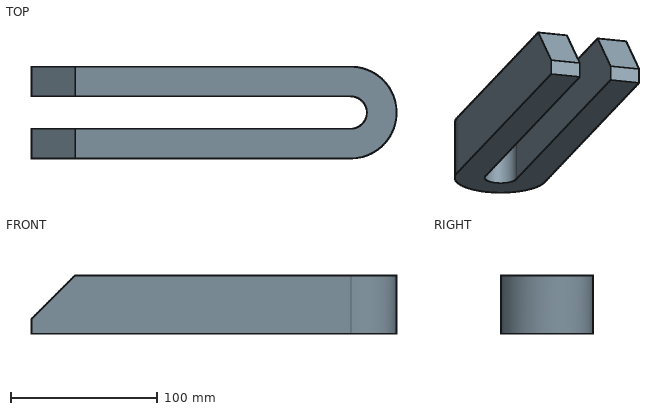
import cadquery as cq

length = 250.0
width = 63.0
height = 40.0

slot_width = 22.0

nose_height = 10.0
nose_run = height - nose_height

outer_radius = width / 2
slot_radius = slot_width / 2
bend_center_x = length - outer_radius


def round_ended_bar(radius):
    """Full-height bar from X = 0 to the bend centre, closed by a half round."""
    return (
        cq.Workplane("XY")
        .moveTo(0, -radius)
        .lineTo(bend_center_x, -radius)
        .threePointArc((bend_center_x + radius, 0), (bend_center_x, radius))
        .lineTo(0, radius)
        .close()
        .extrude(height)
    )


def nose_wedge():
    """Material removed above the sloped nose, across the full width."""
    return (
        cq.Workplane("XZ")
        .moveTo(0, nose_height)
        .lineTo(nose_run, height)
        .lineTo(0, height)
        .close()
        .extrude(width / 2, both=True)
    )


body = round_ended_bar(outer_radius)
slot = round_ended_bar(slot_radius)
result = body.cut(slot).cut(nose_wedge())